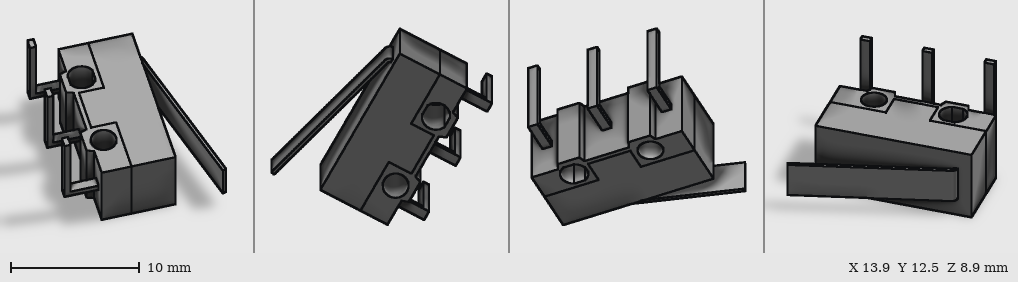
import cadquery as cq
import math


case_length = 12.8
case_depth = 5.95
case_height = 5.8
case_center_x = -0.025
case_left = case_center_x - case_length / 2
mid_height = case_height / 2

base_depth = 2.4
tongue_width = 3.6
tongue_wall = 0.4

rib_spacing = 6.03
rib_root_width = 2.26
rib_tip_width = 1.86
rib_depth = 0.55

hole_spacing = 6.5
hole_diameter = 2.0
hole_y = 1.0
slot_width = 2.2

terminal_count = 3
terminal_pitch = 5.08
terminal_width = 0.8
terminal_thickness = 0.5
terminal_reach = 2.75
terminal_top = 8.9

lever_thickness = 0.3
lever_width = 2.8
lever_angle = math.radians(15)
lever_arm_length = 12.75
bend_inner_radius = 0.2
bend_outer_radius = bend_inner_radius + lever_thickness
bend_center_x = case_left + 1.62


def box(x_min, x_max, y_min, y_max, z_min, z_max):
    """Block between the given limits."""
    size = (x_max - x_min, y_max - y_min, z_max - z_min)
    return cq.Workplane("XY").box(*size, centered=False).translate((x_min, y_min, z_min))


def make_cover():
    """Rear part of the case, with a tongue that reaches forward into the base."""
    rear = box(case_left, case_left + case_length, base_depth, case_depth, 0, case_height)
    tongue = box(-tongue_width / 2, tongue_width / 2, tongue_wall, base_depth, 0, case_height)
    return rear.union(tongue)


def make_rib(center_x):
    """Tapered standoff rib over the full height of the terminal face."""
    return (
        cq.Workplane("XY")
        .moveTo(center_x - rib_root_width / 2, 0)
        .lineTo(center_x - rib_tip_width / 2, -rib_depth)
        .lineTo(center_x + rib_tip_width / 2, -rib_depth)
        .lineTo(center_x + rib_root_width / 2, 0)
        .close()
        .extrude(case_height)
    )


def make_round_hole():
    """Cutter for the round mounting hole."""
    return (
        cq.Workplane("XY")
        .center(hole_spacing / 2, hole_y)
        .circle(hole_diameter / 2)
        .extrude(case_height)
    )


def make_slotted_hole():
    """Cutter for the wider mounting hole: a circle with flats at the round hole's diameter."""
    half_height = hole_diameter / 2
    half_flat = math.sqrt((slot_width / 2) ** 2 - half_height**2)
    return (
        cq.Workplane("XY")
        .center(-hole_spacing / 2, hole_y)
        .moveTo(-half_flat, -half_height)
        .lineTo(half_flat, -half_height)
        .threePointArc((slot_width / 2, 0), (half_flat, half_height))
        .lineTo(-half_flat, half_height)
        .threePointArc((-slot_width / 2, 0), (-half_flat, -half_height))
        .close()
        .extrude(case_height)
    )


def make_base():
    """Front part of the case, notched for the cover's tongue, with ribs and mounting holes."""
    base = box(case_left, case_left + case_length, 0, base_depth, 0, case_height)
    base = base.cut(box(-tongue_width / 2, tongue_width / 2, tongue_wall, base_depth, 0, case_height))
    for side in (-1, 1):
        base = base.union(make_rib(case_center_x + side * rib_spacing / 2))
    return base.cut(make_round_hole()).cut(make_slotted_hole())


def make_terminal(center_x):
    """L-shaped terminal that leaves the base forward and turns up."""
    bottom = mid_height - terminal_thickness / 2
    return (
        cq.Workplane("YZ")
        .moveTo(0, bottom)
        .lineTo(-terminal_reach, bottom)
        .lineTo(-terminal_reach, terminal_top)
        .lineTo(-terminal_reach + terminal_thickness, terminal_top)
        .lineTo(-terminal_reach + terminal_thickness, bottom + terminal_thickness)
        .lineTo(0, bottom + terminal_thickness)
        .close()
        .extrude(terminal_width / 2, both=True)
        .translate((center_x, 0, 0))
    )


def make_lever():
    """Bent strip that rises from the cover's rear face and slopes away along +X."""

    def bend_point(radius, turn):
        """Point on the bend after turning by the given angle from the rear face."""
        return (bend_center_x - radius * math.cos(turn), case_depth + radius * math.sin(turn))

    def arm_end(radius):
        """Far end of the straight arm side that leaves the bend at the given radius."""
        x, y = bend_point(radius, bend_turn)
        return (
            x + lever_arm_length * math.cos(lever_angle),
            y + lever_arm_length * math.sin(lever_angle),
        )

    bend_turn = math.pi / 2 - lever_angle
    return (
        cq.Workplane("XY", origin=(0, 0, mid_height))
        .moveTo(*bend_point(bend_outer_radius, 0))
        .threePointArc(bend_point(bend_outer_radius, bend_turn / 2), bend_point(bend_outer_radius, bend_turn))
        .lineTo(*arm_end(bend_outer_radius))
        .lineTo(*arm_end(bend_inner_radius))
        .lineTo(*bend_point(bend_inner_radius, bend_turn))
        .threePointArc(bend_point(bend_inner_radius, bend_turn / 2), bend_point(bend_inner_radius, 0))
        .close()
        .extrude(lever_width / 2, both=True)
    )


cover = make_cover()
base = make_base()
lever = make_lever()
terminals = []
for index in range(terminal_count):
    terminal_x = (index - (terminal_count - 1) / 2) * terminal_pitch
    terminals.append(make_terminal(terminal_x).val())

result = cq.Compound.makeCompound([cover.val(), base.val(), lever.val(), *terminals])